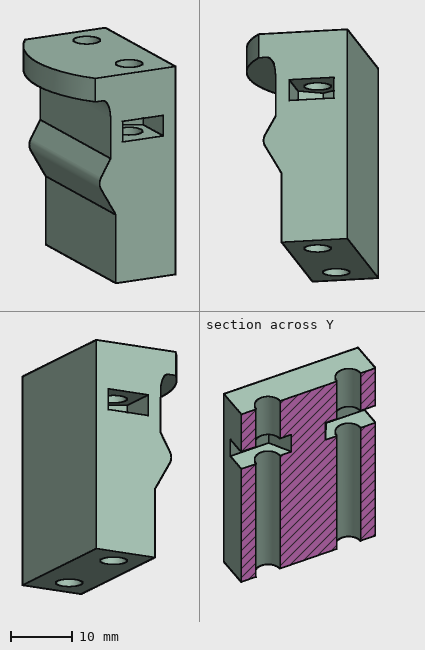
import cadquery as cq
import math

width = 25.0
height = 35.5
plate_depth = 19.0
plate_side_depth = 14.8
plate_thickness = 4.0

neck_depth = 12.0
base_depth = 11.0
ridge_top = 14.05
ridge_bottom = 23.82
ridge_angle = 30.0
ridge_radius = 2.0
cove_depth = 1.5
cove_height = 3.0

hole_diameter = 4.4
hole_spacing = 15.0
hole_setback = 6.0
nut_width = 7.45
nut_slot_top = 8.02
nut_slot_height = 3.5

half_width = width / 2


def extrude_across(outline):
    """Extrude a closed YZ outline across the full width, centred on X = 0."""
    return outline.extrude(width).translate((-half_width, 0, 0))


def make_body():
    """Block with a rounded ridge on its front face."""
    slope = math.tan(math.radians(ridge_angle))
    crest_depth = (neck_depth + base_depth + slope * (ridge_bottom - ridge_top)) / 2
    crest_drop = ridge_top + (crest_depth - neck_depth) / slope
    outline = (
        cq.Workplane("YZ")
        .moveTo(0, 0)
        .lineTo(-neck_depth, 0)
        .lineTo(-neck_depth, -ridge_top)
        .lineTo(-crest_depth, -crest_drop)
        .lineTo(-base_depth, -ridge_bottom)
        .lineTo(-base_depth, -height)
        .lineTo(0, -height)
        .close()
    )
    crest = cq.selectors.NearestToPointSelector((0, -crest_depth, -crest_drop))
    return extrude_across(outline).edges(crest).fillet(ridge_radius)


def make_plate():
    """Top plate with a bowed front edge."""
    return (
        cq.Workplane("XY")
        .moveTo(-half_width, 0)
        .lineTo(-half_width, -plate_side_depth)
        .threePointArc((0, -plate_depth), (half_width, -plate_side_depth))
        .lineTo(half_width, 0)
        .close()
        .extrude(-plate_thickness)
    )


def make_cove():
    """Elliptical cove in the corner between the plate and the neck."""
    corner = (-neck_depth, -plate_thickness)
    ellipse_center = (-neck_depth - cove_depth, -plate_thickness - cove_height)
    block = extrude_across(
        cq.Workplane("YZ")
        .moveTo(*corner)
        .lineTo(ellipse_center[0], corner[1])
        .lineTo(*ellipse_center)
        .lineTo(corner[0], ellipse_center[1])
        .close()
    )
    hollow = extrude_across(
        cq.Workplane("YZ").center(*ellipse_center).ellipse(cove_depth, cove_height)
    )
    return block.cut(hollow)


def make_nut_slot(side):
    """Slot from one side face (side = -1 or 1), ending in a hexagonal nut seat."""
    hole_x = side * hole_spacing / 2
    nut_diameter = 2 * nut_width / math.sqrt(3)
    top = cq.Workplane("XY", origin=(hole_x, -hole_setback, -nut_slot_top))
    seat = top.polygon(6, nut_diameter).extrude(-nut_slot_height)
    length = half_width - hole_spacing / 2
    channel = top.center(side * length / 2, 0).rect(length, nut_width).extrude(-nut_slot_height)
    return seat.union(channel)


def make_screw_hole(side):
    """Vertical hole through the full height."""
    return (
        cq.Workplane("XY", origin=(side * hole_spacing / 2, -hole_setback, 0))
        .circle(hole_diameter / 2)
        .extrude(-height)
    )


result = make_body().union(make_plate()).union(make_cove())
for side in (-1, 1):
    result = result.cut(make_screw_hole(side)).cut(make_nut_slot(side))